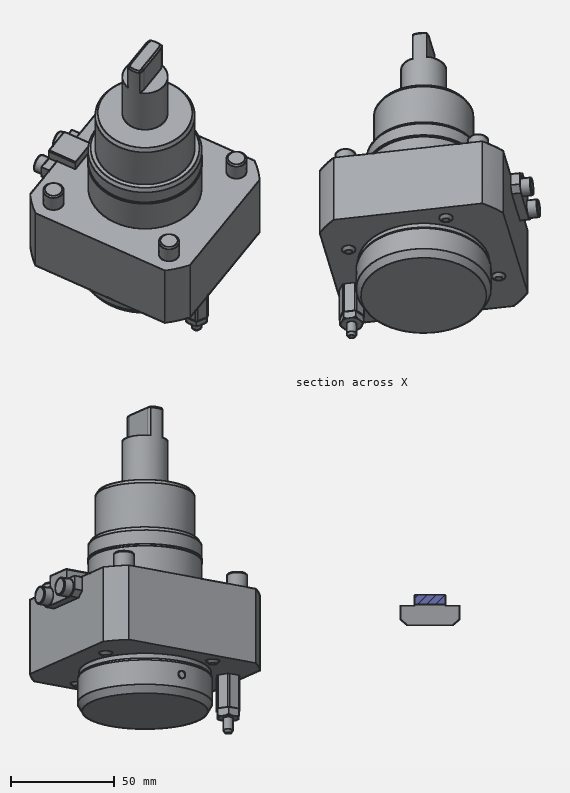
import cadquery as cq
import math

TOP_Z = 93.7
OVERALL_HEIGHT = 159.3
BOTTOM_Z = TOP_Z - OVERALL_HEIGHT
OVERALL_X = 99.9

HOUSING_X = 90.0
HOUSING_Y = 84.0
HOUSING_HEIGHT = 37.5
CORNER_RADIUS = 55.6

LOWER_BOSS_DIAMETER = 55.0
LOWER_BOSS_RADIUS = LOWER_BOSS_DIAMETER / 2
LOWER_BOSS_TOP = 27.9
UPPER_BOSS_RADIUS = 24.0
UPPER_BOSS_TOP = 52.7
BOSS_CHAMFER_HEIGHT = 1.9
BOSS_CHAMFER_WIDTH = 1.3
SEAL_RING_BOTTOM = 18.0
SEAL_RING_HEIGHT = 1.0
SEAL_RING_PROJECTION = 0.24

SHAFT_RADIUS = 11.0
TANG_HEIGHT = 15.0
TANG_HALF_THICKNESS = 4.0
TANG_END_HALF_THICKNESS = 3.3
TANG_FLAT_HALF_LENGTH = 8
TANG_CHAMFER_HEIGHT = 1.0
TANG_CHAMFER_WIDTH = 0.6

NUT_RADIUS = 32.5
NUT_NECK_RADIUS = 31.9
NUT_NECK_HEIGHT = 2.4
NUT_SHOULDER_HEIGHT = 1.1
NUT_BOTTOM = -57.0
NUT_CHAMFER_HEIGHT = 3.8
NUT_CHAMFER_WIDTH = 2.2
NUT_PIN_RADIUS = 1.9
NUT_PIN_Z = -46.8
NUT_PIN_PROJECTION = 0.5

HEAD_RADIUS = 5.0
HEAD_HEIGHT = 9.4
HEAD_CHAMFER = 0.8
HEAD_SPACING_X = 65.0
HEAD_SPACING_Y = 63.1
TIP_CIRCLE_RADIUS = 37.8
TIP_ANGLE = 27
TIP_RADIUS = 3.3
TIP_END_RADIUS = 1.8
TIP_HEIGHT = 1.5

CONNECTOR_X = 38.0
CONNECTOR_Y = -15.0
STANDOFF_CORNER_RADIUS = 6.4
STANDOFF_EDGE_CHAMFER = 0.6
STANDOFF_BOTTOM = -54.2
HEX_NUT_CORNER_RADIUS = 5.9
HEX_NUT_BOTTOM = -58.1
HEX_NUT_CHAMFER = 0.6
CONNECTOR_PIN_RADIUS = 2.4
CONNECTOR_PIN_CHAMFER_HEIGHT = 1.5
CONNECTOR_PIN_CHAMFER_WIDTH = 1.0

KEY_FRONT_X = -49.7
KEY_TONGUE_WIDTH = 15.0
KEY_TONGUE_LENGTH = 15.0
KEY_TONGUE_TOP = 4.8
KEY_TONGUE_CHAMFER = 0.5
KEY_PLATE_WIDTH = 28.5
KEY_PLATE_TOP = -0.5
KEY_PLATE_GAP = 0.24
KEY_PLATE_BOTTOM = -10.0
KEY_PLATE_CHAMFER_WIDTH = 3.3
KEY_PLATE_CHAMFER_HEIGHT = 2.9
KEY_SCREW_SPACING = 17.8
KEY_SCREW_Z = -5.3
KEY_SCREW_DIAMETER = 8.8
KEY_SCREW_HEIGHT = OVERALL_X - HOUSING_X / 2 + KEY_FRONT_X
KEY_SCREW_CHAMFER = 0.5

OVERLAP = 1.6


def cylinder(radius, bottom, top, x=0, y=0):
    return cq.Workplane("XY", origin=(x, y, bottom)).circle(radius).extrude(top - bottom)


def make_housing():
    block = cq.Workplane("XY").box(HOUSING_X, HOUSING_Y, HOUSING_HEIGHT)
    block = block.translate((0, 0, -HOUSING_HEIGHT / 2))
    return block.intersect(cylinder(CORNER_RADIUS, -HOUSING_HEIGHT, 0))


def make_boss(radius, bottom, top):
    boss = cylinder(radius, bottom, top)
    return boss.faces(">Z").chamfer(BOSS_CHAMFER_HEIGHT, BOSS_CHAMFER_WIDTH)


def make_shank():
    shank = make_boss(LOWER_BOSS_RADIUS, -OVERLAP, LOWER_BOSS_TOP)
    shank = shank.union(make_boss(UPPER_BOSS_RADIUS, 0, UPPER_BOSS_TOP))
    seal_ring = cylinder(
        LOWER_BOSS_RADIUS + SEAL_RING_PROJECTION, SEAL_RING_BOTTOM, SEAL_RING_BOTTOM + SEAL_RING_HEIGHT
    )
    return shank.union(seal_ring)


def make_shaft():
    shaft = cylinder(SHAFT_RADIUS, 0, TOP_Z)
    end_y = math.sqrt(SHAFT_RADIUS**2 - TANG_END_HALF_THICKNESS**2)
    tang_side = [
        (SHAFT_RADIUS, -SHAFT_RADIUS),
        (TANG_END_HALF_THICKNESS, -SHAFT_RADIUS),
        (TANG_END_HALF_THICKNESS, -end_y),
        (TANG_HALF_THICKNESS, -TANG_FLAT_HALF_LENGTH),
        (TANG_HALF_THICKNESS, TANG_FLAT_HALF_LENGTH),
        (TANG_END_HALF_THICKNESS, end_y),
        (TANG_END_HALF_THICKNESS, SHAFT_RADIUS),
        (SHAFT_RADIUS, SHAFT_RADIUS),
    ]
    side_cut = cq.Workplane("XY", origin=(0, 0, TOP_Z)).polyline(tang_side).close().extrude(-TANG_HEIGHT)
    shaft = shaft.cut(side_cut).cut(side_cut.mirror("YZ"))
    return shaft.faces(">Z").chamfer(TANG_CHAMFER_HEIGHT, TANG_CHAMFER_WIDTH)


def make_clamping_nut():
    neck_bottom = -HOUSING_HEIGHT - NUT_NECK_HEIGHT
    shoulder_z = neck_bottom - NUT_SHOULDER_HEIGHT
    nut = (
        cq.Workplane("XZ")
        .moveTo(0, -HOUSING_HEIGHT + OVERLAP)
        .lineTo(NUT_NECK_RADIUS, -HOUSING_HEIGHT + OVERLAP)
        .lineTo(NUT_NECK_RADIUS, neck_bottom)
        .lineTo(NUT_RADIUS, shoulder_z)
        .lineTo(NUT_RADIUS, NUT_BOTTOM + NUT_CHAMFER_HEIGHT)
        .lineTo(NUT_RADIUS - NUT_CHAMFER_WIDTH, NUT_BOTTOM)
        .lineTo(0, NUT_BOTTOM)
        .close()
        .revolve(360, (0, 0, 0), (0, 1, 0))
    )
    pin = (
        cq.Workplane("XZ", origin=(0, -NUT_RADIUS + OVERLAP, NUT_PIN_Z))
        .circle(NUT_PIN_RADIUS)
        .extrude(OVERLAP + NUT_PIN_PROJECTION)
    )
    return nut.union(pin)


def make_screw_heads():
    return (
        cq.Workplane("XY", origin=(0, 0, -OVERLAP))
        .rarray(HEAD_SPACING_X, HEAD_SPACING_Y, 2, 2)
        .circle(HEAD_RADIUS)
        .extrude(HEAD_HEIGHT + OVERLAP)
        .faces(">Z")
        .chamfer(HEAD_CHAMFER)
    )


def make_screw_tips():
    tips = cq.Workplane("XY")
    for quarter in range(4):
        angle = math.radians(TIP_ANGLE + 90 * quarter)
        x = TIP_CIRCLE_RADIUS * math.cos(angle)
        y = TIP_CIRCLE_RADIUS * math.sin(angle)
        tip_bottom = -HOUSING_HEIGHT - TIP_HEIGHT
        tip = cylinder(TIP_RADIUS, tip_bottom, -HOUSING_HEIGHT + OVERLAP, x, y)
        tips = tips.union(tip.faces("<Z").chamfer(TIP_HEIGHT, TIP_RADIUS - TIP_END_RADIUS))
    return tips


def make_hexagon(corner_radius, bottom, top):
    return (
        cq.Workplane("XY", origin=(CONNECTOR_X, CONNECTOR_Y, bottom))
        .polygon(6, 2 * corner_radius)
        .extrude(top - bottom)
    )


def make_connector():
    standoff = make_hexagon(STANDOFF_CORNER_RADIUS, STANDOFF_BOTTOM, -HOUSING_HEIGHT + OVERLAP)
    standoff = standoff.edges("|Z").chamfer(STANDOFF_EDGE_CHAMFER)

    nut = make_hexagon(HEX_NUT_CORNER_RADIUS, HEX_NUT_BOTTOM, STANDOFF_BOTTOM + OVERLAP)
    turned = cylinder(
        HEX_NUT_CORNER_RADIUS, HEX_NUT_BOTTOM, STANDOFF_BOTTOM + OVERLAP, CONNECTOR_X, CONNECTOR_Y
    )
    nut = nut.intersect(turned.faces("<Z").chamfer(HEX_NUT_CHAMFER))

    pin = cylinder(CONNECTOR_PIN_RADIUS, BOTTOM_Z, HEX_NUT_BOTTOM + OVERLAP, CONNECTOR_X, CONNECTOR_Y)
    pin = pin.faces("<Z").chamfer(CONNECTOR_PIN_CHAMFER_HEIGHT, CONNECTOR_PIN_CHAMFER_WIDTH)
    return standoff.union(nut).union(pin)


def make_key():
    tongue = cq.Workplane("XY", origin=(KEY_FRONT_X, 0, 0)).box(
        KEY_TONGUE_LENGTH, KEY_TONGUE_WIDTH, KEY_TONGUE_TOP, centered=(False, True, False)
    )
    tongue = tongue.edges(">Z and |X").chamfer(KEY_TONGUE_CHAMFER)

    tongue_half_width = KEY_TONGUE_WIDTH / 2
    half_width = KEY_PLATE_WIDTH / 2
    bottom_half_width = half_width - KEY_PLATE_CHAMFER_WIDTH
    chamfer_top = KEY_PLATE_BOTTOM + KEY_PLATE_CHAMFER_HEIGHT
    plate_thickness = -HOUSING_X / 2 - KEY_PLATE_GAP - KEY_FRONT_X
    plate = (
        cq.Workplane("YZ", origin=(KEY_FRONT_X, 0, 0))
        .moveTo(-half_width, KEY_PLATE_TOP)
        .lineTo(-tongue_half_width, KEY_PLATE_TOP)
        .lineTo(-tongue_half_width, 0)
        .lineTo(tongue_half_width, 0)
        .lineTo(tongue_half_width, KEY_PLATE_TOP)
        .lineTo(half_width, KEY_PLATE_TOP)
        .lineTo(half_width, chamfer_top)
        .lineTo(bottom_half_width, KEY_PLATE_BOTTOM)
        .lineTo(-bottom_half_width, KEY_PLATE_BOTTOM)
        .lineTo(-half_width, chamfer_top)
        .close()
        .extrude(plate_thickness)
    )
    screws = (
        cq.Workplane("YZ", origin=(KEY_FRONT_X, 0, KEY_SCREW_Z))
        .rarray(KEY_SCREW_SPACING, 1.6, 2, 1)
        .circle(KEY_SCREW_DIAMETER / 2)
        .extrude(-KEY_SCREW_HEIGHT)
        .faces("<X")
        .chamfer(KEY_SCREW_CHAMFER)
    )
    return tongue.union(plate).union(screws)


result = (
    make_housing()
    .union(make_shank())
    .union(make_shaft())
    .union(make_clamping_nut())
    .union(make_screw_heads())
    .union(make_screw_tips())
    .union(make_connector())
    .union(make_key())
)